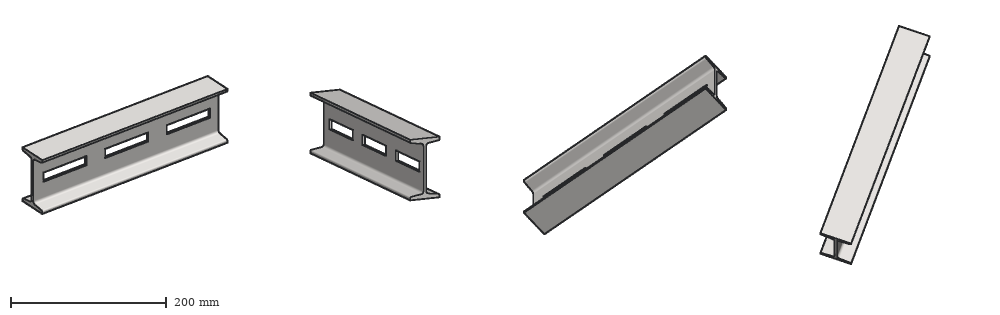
import cadquery as cq

length = 300.0
flange_width = 42.0
height = 80.0

web_thickness = 4.0
flange_thickness = 6.0
flange_slope = 0.14
root_radius = 4.0
toe_radius = 2.3

slot_count = 3
slot_length = 70.0
slot_height = 13.5
slot_pitch = 100.0
slot_row_offset = 1.5

half_width = flange_width / 2
half_height = height / 2
half_web = web_thickness / 2


def flange_inner_z(x):
    """Height of the sloping inner face of the top flange at distance x from the web centre."""
    thickness = flange_thickness + flange_slope * (flange_width / 4 - x)
    return half_height - thickness


def make_beam():
    """I-section with tapered flanges, rounded at the flange toes and web roots."""
    toe_z = flange_inner_z(half_width)
    root_z = flange_inner_z(half_web)
    right_side = [
        (half_width, -half_height),
        (half_width, -toe_z),
        (half_web, -root_z),
        (half_web, root_z),
        (half_width, toe_z),
        (half_width, half_height),
    ]
    left_side = [(-x, z) for x, z in reversed(right_side)]
    beam = (
        cq.Workplane("XZ")
        .polyline(right_side + left_side)
        .close()
        .extrude(length / 2, both=True)
    )

    def edges_near(x, z):
        """Lengthwise edges at the four mirrored places (+-x, +-z)."""
        margin = 0.3
        selected = beam.edges("|Y")
        return selected.filter(
            lambda edge: abs(abs(edge.Center().x) - x) < margin
            and abs(abs(edge.Center().z) - z) < margin
        )

    beam = edges_near(half_web, root_z).fillet(root_radius)
    return edges_near(half_width, toe_z).fillet(toe_radius)


def make_slots():
    """Cutters for the slots, evenly spaced along the web at mid height."""
    return (
        cq.Workplane("YZ")
        .center(slot_row_offset, 0)
        .rarray(slot_pitch, 3, slot_count, 1)
        .rect(slot_length, slot_height)
        .extrude(half_width, both=True)
    )


result = make_beam().cut(make_slots())